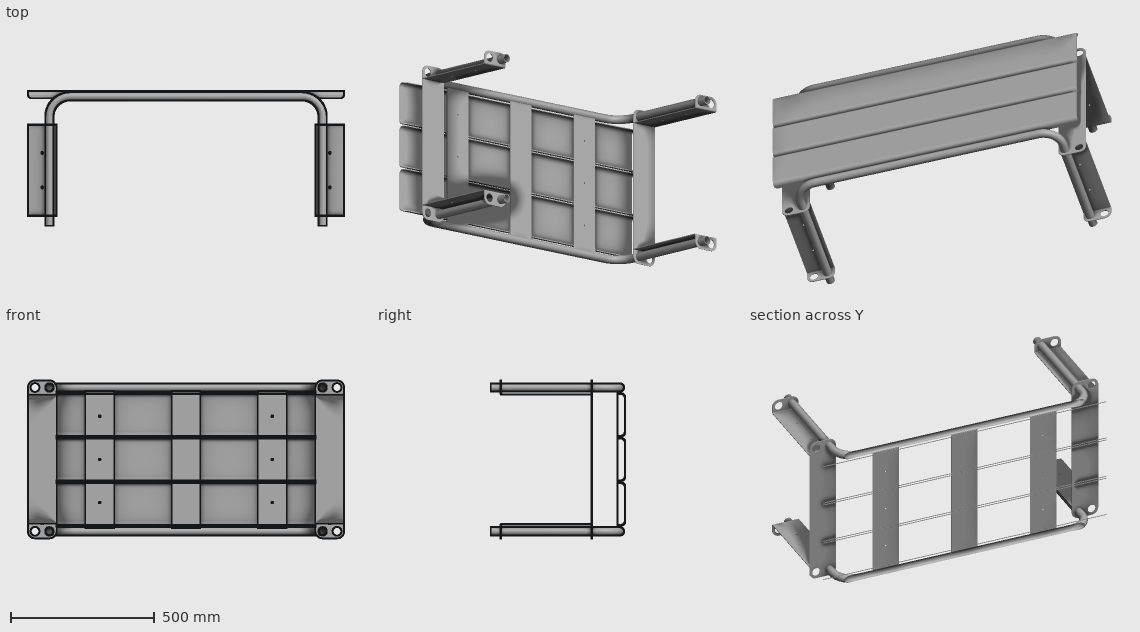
import cadquery as cq
import math

length = 1100.0
height = 550.0
depth = 469.0
sheet = 3.0

tube_diameter = 30.0
tube_wall = 2.0
tube_bend_radius = 70.0
tube_leg_x = 475.0
tube_z = 250.0
tube_back_gap = 4.0
tube_axis_y = -(tube_back_gap + tube_diameter / 2)

plank_count = 3
plank_width = 150.0
plank_gap = 5.0
plank_pitch = plank_width + plank_gap
plank_depth = 26.0
plank_bend_radius = 15.0
plank_corner_radius = 14.0

strip_width = 100.0
strip_height = 480.0
strip_thickness = sheet
strip_spacing = 300.0
strip_hole_spacing = 150.0

bracket_width = 100.0
bracket_back_y = -116.0
bracket_front_y = -435.0
shelf_outer_z = 227.0
shelf_bend_radius = 6.0
lug_corner_radius = 25.0
lug_hole_diameter = tube_diameter
lug_hole_x = 525.0
shelf_hole_spacing = 120.0
shelf_hole_count = 2

screw_hole_diameter = 6.0

bracket_x = (length - bracket_width) / 2
SIDES = (-1, 1)


def block(x_range, y_range, z_range):
    """Axis-aligned box given by its limits."""
    size = [high - low for low, high in (x_range, y_range, z_range)]
    corner = (x_range[0], y_range[0], z_range[0])
    return cq.Workplane("XY").box(*size, centered=False).translate(corner)


def y_cylinder(x, z, diameter, y_front, y_back):
    """Cylinder parallel to Y."""
    start = cq.Vector(x, y_front, z)
    toward_back = cq.Vector(0, 1, 0)
    cylinder = cq.Solid.makeCylinder(diameter / 2, y_back - y_front, start, toward_back)
    return cq.Workplane(cylinder)


def bent_rod(z, diameter):
    """Solid round bar along the U-shaped tube axis."""
    bend_y = tube_axis_y - tube_bend_radius
    straight_x = tube_leg_x - tube_bend_radius
    diagonal = tube_bend_radius * math.cos(math.pi / 4)
    path = (
        cq.Workplane("XY", origin=(0, 0, z))
        .moveTo(-tube_leg_x, -depth)
        .lineTo(-tube_leg_x, bend_y)
        .threePointArc((-straight_x - diagonal, bend_y + diagonal), (-straight_x, tube_axis_y))
        .lineTo(straight_x, tube_axis_y)
        .threePointArc((straight_x + diagonal, bend_y + diagonal), (tube_leg_x, bend_y))
        .lineTo(tube_leg_x, -depth)
    )
    return cq.Workplane("XZ", origin=(-tube_leg_x, -depth, z)).circle(diameter / 2).sweep(path)


def plank(z):
    """Channel-section plank centred on height z."""
    half_length = length / 2
    half_width = plank_width / 2
    inner_half = half_width - sheet
    outer = block((-half_length, half_length), (-plank_depth, 0), (-half_width, half_width))
    outer = outer.edges("|X and >Y").fillet(plank_bend_radius)
    inner = block((-half_length, half_length), (-plank_depth, -sheet), (-inner_half, inner_half))
    inner = inner.edges("|X and >Y").fillet(plank_bend_radius - sheet)
    channel = outer.cut(inner)
    channel = channel.edges("|Z and <Y").fillet(plank_corner_radius)
    return channel.translate((0, 0, z))


def strip(x):
    """Flat cross strip lying on the ends of the plank flanges."""
    half_width = strip_width / 2
    half_height = strip_height / 2
    return block(
        (x - half_width, x + half_width),
        (-plank_depth - strip_thickness, -plank_depth),
        (-half_height, half_height),
    )


def strip_holes(x):
    """Column of screw holes through one strip, one hole per plank."""
    return (
        cq.Workplane("XZ", origin=(x, -plank_depth, 0))
        .rarray(1, strip_hole_spacing, 1, plank_count)
        .circle(screw_hole_diameter / 2)
        .extrude(strip_thickness)
    )


def back_plate():
    """Upright plate with rounded corners, centred on X = 0."""
    half_width = bracket_width / 2
    plate = block(
        (-half_width, half_width),
        (bracket_back_y - sheet, bracket_back_y),
        (-height / 2, height / 2),
    )
    return plate.edges("|Y").fillet(lug_corner_radius)


def upper_shelf():
    """Horizontal sheet whose front end is bent up into a lug, centred on X = 0."""
    half_width = bracket_width / 2
    x_range = (-half_width, half_width)
    bottom_z = shelf_outer_z - sheet
    outer = block(x_range, (bracket_front_y, bracket_back_y - sheet), (bottom_z, height / 2))
    outer = outer.edges("|X and <Y and <Z").fillet(shelf_bend_radius)
    inner = block(x_range, (bracket_front_y + sheet, bracket_back_y), (shelf_outer_z, height / 2))
    inner = inner.edges("|X and <Y and <Z").fillet(shelf_bend_radius - sheet)
    shelf = outer.cut(inner).edges("|Y and >Z").fillet(lug_corner_radius)
    holes = (
        cq.Workplane("XY", origin=(0, (bracket_front_y + bracket_back_y) / 2, bottom_z))
        .rarray(1, shelf_hole_spacing, 1, shelf_hole_count)
        .circle(screw_hole_diameter / 2)
        .extrude(sheet)
    )
    return shelf.cut(holes)


def bracket(side):
    """Leg bracket at one end: back plate, two shelves with lugs and the open lug holes."""
    shelf = upper_shelf()
    body = back_plate().union(shelf).union(shelf.mirror("XY"))
    body = body.translate((side * bracket_x, 0, 0))
    for z_side in SIDES:
        hole = y_cylinder(
            side * lug_hole_x, z_side * tube_z, lug_hole_diameter, bracket_front_y, bracket_back_y
        )
        body = body.cut(hole)
    return body


def frame():
    """All parts joined, with tube bores and strip holes opened last."""
    body = bracket(-1).union(bracket(1))
    for z_side in SIDES:
        body = body.union(bent_rod(z_side * tube_z, tube_diameter))
    for index in range(plank_count):
        body = body.union(plank((index - (plank_count - 1) / 2) * plank_pitch))
    for x in (-strip_spacing, 0, strip_spacing):
        body = body.union(strip(x))
    for x in (-strip_spacing, strip_spacing):
        body = body.cut(strip_holes(x))
    for z_side in SIDES:
        body = body.cut(bent_rod(z_side * tube_z, tube_diameter - 2 * tube_wall))
    return body


result = frame()